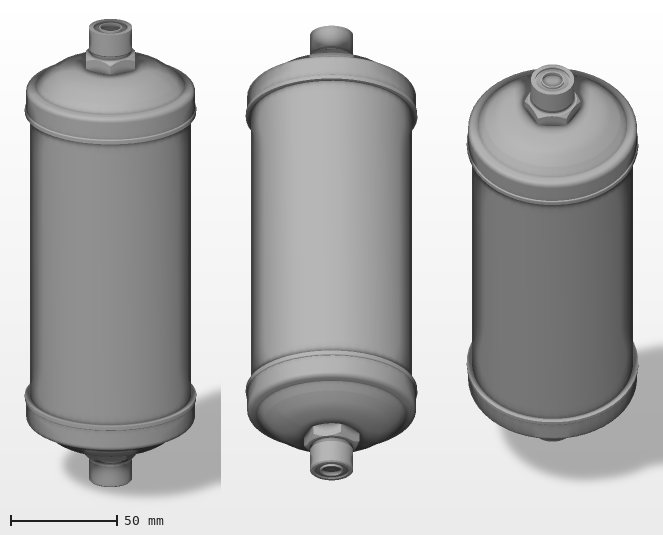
import cadquery as cq
import math

total_height = 230.0
half_height = total_height / 2

shell_radius = 38.0
skirt_radius = 39.8
flange_radius = 40.4
flange_bottom = half_height - 43.2
flange_height = 2.2
flange_round = flange_radius - skirt_radius
rim_round = 2.4
rim_slope = math.radians(10)

crown_height = half_height - 19.5
crown_radius = 15.0
dome_arc_radius = 23.7
dome_cone_angle = math.radians(45)
dome_foot_radius = 35.2
dome_foot_height = half_height - 29.8

hex_across_flats = 23.0
hex_height = 6.6
hex_outer_chamfer = 1.7
hex_base_chamfer = 0.9
top_hex_angle = -12.0
bottom_hex_angle = 22.0

spigot_radius = 10.2
spigot_chamfer = 0.6
groove_radius = 9.4
groove_width = 1.5

recess_radius = 8.1
recess_depth = 1.0
lip_radius = 5.5
bore_radius = 4.8
bore_depth = 2.0


def make_shell():
    """Plain cylinder running between the two caps."""
    return cq.Workplane("XY").circle(shell_radius).extrude(flange_bottom + flange_height, both=True)


def make_cap():
    """Upper cap: flange, skirt, rounded rim and dome as one revolved profile."""
    arc_end_radius = crown_radius + dome_arc_radius * math.sin(dome_cone_angle)
    arc_end_height = crown_height - dome_arc_radius * (1 - math.cos(dome_cone_angle))
    arc_mid_radius = crown_radius + dome_arc_radius * math.sin(dome_cone_angle / 2)
    arc_mid_height = crown_height - dome_arc_radius * (1 - math.cos(dome_cone_angle / 2))

    round_centre_radius = skirt_radius - rim_round
    ledge_end_radius = round_centre_radius + rim_round * math.sin(rim_slope)
    ledge_end_height = dome_foot_height - (ledge_end_radius - dome_foot_radius) * math.tan(rim_slope)
    round_centre_height = ledge_end_height - rim_round * math.cos(rim_slope)
    round_mid_angle = (math.radians(90) - rim_slope) / 2
    round_mid_radius = round_centre_radius + rim_round * math.cos(round_mid_angle)
    round_mid_height = round_centre_height + rim_round * math.sin(round_mid_angle)

    flange_top = flange_bottom + flange_height
    flange_round_mid = flange_round * (1 - math.sqrt(0.5))

    profile = (
        cq.Workplane("XZ")
        .moveTo(0, flange_bottom)
        .lineTo(flange_radius, flange_bottom)
        .lineTo(flange_radius, flange_top - flange_round)
        .threePointArc(
            (flange_radius - flange_round_mid, flange_top - flange_round_mid),
            (skirt_radius, flange_top),
        )
        .lineTo(skirt_radius, round_centre_height)
        .threePointArc((round_mid_radius, round_mid_height), (ledge_end_radius, ledge_end_height))
        .lineTo(dome_foot_radius, dome_foot_height)
        .lineTo(arc_end_radius, arc_end_height)
        .threePointArc((arc_mid_radius, arc_mid_height), (crown_radius, crown_height))
        .lineTo(0, crown_height)
        .close()
    )
    return profile.revolve(360, (0, 0, 0), (0, 1, 0))


def make_hexagon(angle):
    """Hexagon standing on the crown, its corners turned down at both ends."""
    corner_radius = hex_across_flats / 2 / math.cos(math.radians(30))
    flat_radius = hex_across_flats / 2
    prism = (
        cq.Workplane("XY", origin=(0, 0, crown_height))
        .polygon(6, 2 * corner_radius)
        .extrude(hex_height)
        .rotate((0, 0, 0), (0, 0, 1), angle)
    )
    hex_top = crown_height + hex_height
    turned_envelope = (
        cq.Workplane("XZ")
        .moveTo(0, crown_height)
        .lineTo(flat_radius, crown_height)
        .lineTo(corner_radius, crown_height + hex_base_chamfer)
        .lineTo(corner_radius, hex_top - hex_outer_chamfer)
        .lineTo(flat_radius, hex_top)
        .lineTo(0, hex_top)
        .close()
        .revolve(360, (0, 0, 0), (0, 1, 0))
    )
    return prism.intersect(turned_envelope)


def make_spigot(chamfer_end):
    """Relief groove and connection spigot, with a lipped blind bore in the end face."""
    groove_bottom = crown_height + hex_height
    spigot_bottom = groove_bottom + groove_width
    groove = cq.Workplane("XY", origin=(0, 0, groove_bottom)).circle(groove_radius).extrude(groove_width)
    spigot = (
        cq.Workplane("XY", origin=(0, 0, spigot_bottom))
        .circle(spigot_radius)
        .extrude(half_height - spigot_bottom)
        .faces("<Z")
        .chamfer(spigot_chamfer)
    )
    if chamfer_end:
        spigot = spigot.faces(">Z").chamfer(spigot_chamfer)
    end_plane = cq.Workplane("XY", origin=(0, 0, half_height))
    ring_recess = end_plane.circle(recess_radius).circle(lip_radius).extrude(-recess_depth)
    bore = end_plane.circle(bore_radius).extrude(-bore_depth)
    return groove.union(spigot).cut(ring_recess).cut(bore)


def make_end(hex_angle, chamfer_end):
    """Complete upper end: cap, hexagon and spigot."""
    return make_cap().union(make_hexagon(hex_angle)).union(make_spigot(chamfer_end))


top_end = make_end(top_hex_angle, False)
bottom_end = make_end(-bottom_hex_angle, True).rotate((0, 0, 0), (1, 0, 0), 180)

result = make_shell().union(top_end).union(bottom_end)